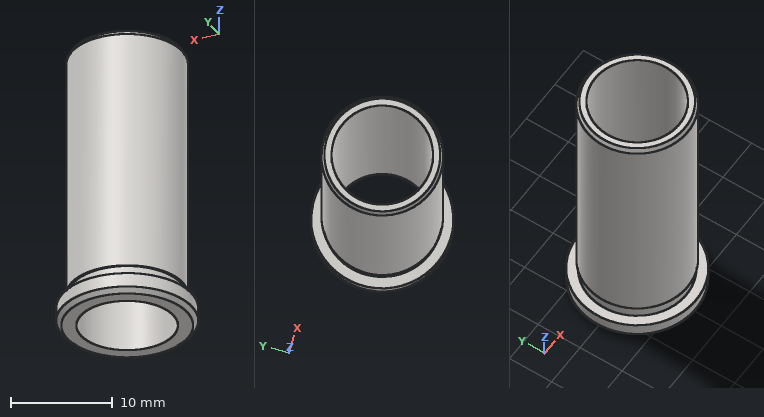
import cadquery as cq

total_height = 30.0
flange_diameter = 14.0
body_diameter = 12.0
bore_diameter = 10.0

flange_height = 2.0
flange_chamfer = 0.5

groove_diameter = 11.7
groove_height = 1.45

lead_in_height = 0.5
lead_in_width = 0.3

flange_radius = flange_diameter / 2
body_radius = body_diameter / 2
bore_radius = bore_diameter / 2
groove_radius = groove_diameter / 2
groove_top = flange_height + groove_height

half_section = [
    (bore_radius, 0),
    (flange_radius - flange_chamfer, 0),
    (flange_radius, flange_chamfer),
    (flange_radius, flange_height),
    (groove_radius, flange_height),
    (groove_radius, groove_top),
    (body_radius, groove_top),
    (body_radius, total_height - lead_in_height),
    (body_radius - lead_in_width, total_height),
    (bore_radius, total_height),
]

result = cq.Workplane("XZ").polyline(half_section).close().revolve(360, (0, 0, 0), (0, 1, 0))